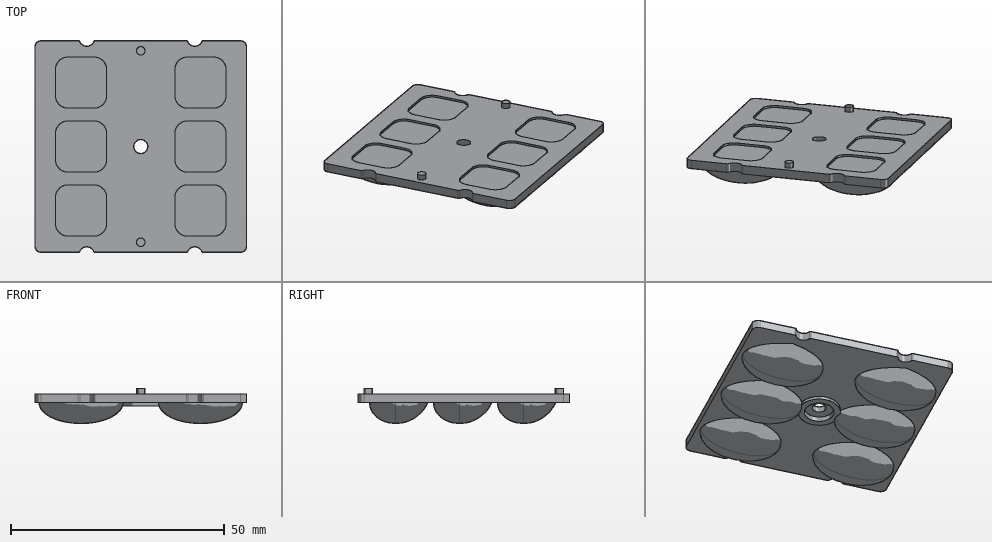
import cadquery as cq
import math

plate_side = 49.6
plate_thickness = 2.1
corner_radius = 1.5

notch_x = 12.65
notch_radius = 1.8
notch_center_offset = 0.5
notch_lip_radius = 0.4

column_x = 14.0
row_pitch = 15.0
lens_centers = [(x, row * row_pitch) for x in (-column_x, column_x) for row in (-1, 0, 1)]

pocket_side = 12.0
pocket_corner_radius = 3.0
pocket_depth = 0.5

dome_depth = 4.9
dome_half_width = 9.8
dome_apex_y = -1.0
dome_front_y = -7.1
dome_back_y = 6.55

pin_y = 22.4
pin_diameter = 2.0
pin_height = 1.25
hole_diameter = 3.2
boss_diameter = 9.9
boss_height = 0.8
counterbore_diameter = 6.95
counterbore_depth = 1.3


def make_plate():
    return (
        cq.Workplane("XY")
        .rect(plate_side, plate_side)
        .extrude(plate_thickness)
        .edges("|Z")
        .fillet(corner_radius)
    )


def make_notch(x, side):
    """Cutter for one notch; side is +1 for the +Y edge and -1 for the -Y edge."""
    edge_y = side * plate_side / 2
    center_y = edge_y + side * notch_center_offset
    lip_y = edge_y - side * notch_lip_radius
    center_distance = notch_radius + notch_lip_radius
    drop = notch_center_offset + notch_lip_radius
    lip_x = math.sqrt(center_distance**2 - drop**2)
    share = notch_radius / center_distance
    touch_x = lip_x * share
    touch_y = center_y - side * drop * share
    middle_angle = (math.atan2(drop, lip_x) + math.pi / 2) / 2
    middle_x = lip_x - notch_lip_radius * math.cos(middle_angle)
    middle_y = lip_y + side * notch_lip_radius * math.sin(middle_angle)
    outer_y = edge_y + side * notch_radius
    return (
        cq.Workplane("XY")
        .moveTo(x - lip_x, edge_y)
        .threePointArc((x - middle_x, middle_y), (x - touch_x, touch_y))
        .threePointArc((x, center_y - side * notch_radius), (x + touch_x, touch_y))
        .threePointArc((x + middle_x, middle_y), (x + lip_x, edge_y))
        .lineTo(x + lip_x, outer_y)
        .lineTo(x - lip_x, outer_y)
        .close()
        .extrude(plate_thickness)
    )


def make_dome():
    """Lens dome under Z = 0: the lower half of a solid turned about Y, stretched along X."""
    back_length = dome_back_y - dome_apex_y
    front_length = dome_apex_y - dome_front_y
    back_radius = (back_length**2 + dome_depth**2) / (2 * dome_depth)
    half_angle = math.asin(back_length / back_radius) / 2
    back_middle = (
        dome_apex_y + back_radius * math.sin(half_angle),
        back_radius * (1 - math.cos(half_angle)) - dome_depth,
    )
    turned = (
        cq.Workplane("YZ")
        .moveTo(dome_back_y, 0)
        .threePointArc(back_middle, (dome_apex_y, -dome_depth))
        .ellipseArc(front_length, dome_depth, 180, 270, sense=-1, startAtCurrent=True)
        .close()
        .revolve(360, (0, 0), (1, 0))
    )
    box_size = 4 * dome_half_width
    lower_half = turned.intersect(
        cq.Workplane("XY").rect(box_size, box_size).extrude(-box_size)
    )
    stretch = cq.Matrix([
        [dome_half_width / dome_depth, 0, 0, 0],
        [0, 1, 0, 0],
        [0, 0, 1, 0],
    ])
    return cq.Workplane(lower_half.val().transformGeometry(stretch))


result = make_plate()
for x in (-notch_x, notch_x):
    for side in (-1, 1):
        result = result.cut(make_notch(x, side))

result = result.union(cq.Workplane("XY").circle(boss_diameter / 2).extrude(-boss_height))
pins = (
    cq.Workplane("XY")
    .pushPoints([(0, -pin_y), (0, pin_y)])
    .circle(pin_diameter / 2)
    .extrude(plate_thickness + pin_height)
)
result = result.union(pins)

dome = make_dome()
for x, y in lens_centers:
    result = result.union(dome.translate((x, y, 0)))

pockets = (
    cq.Workplane("XY", origin=(0, 0, plate_thickness))
    .pushPoints(lens_centers)
    .rect(pocket_side, pocket_side)
    .extrude(-pocket_depth)
    .edges("|Z")
    .fillet(pocket_corner_radius)
)
result = result.cut(pockets)

boss_underside = cq.Workplane("XY", origin=(0, 0, -boss_height))
result = result.cut(boss_underside.circle(hole_diameter / 2).extrude(boss_height + plate_thickness))
result = result.cut(boss_underside.circle(counterbore_diameter / 2).extrude(counterbore_depth))